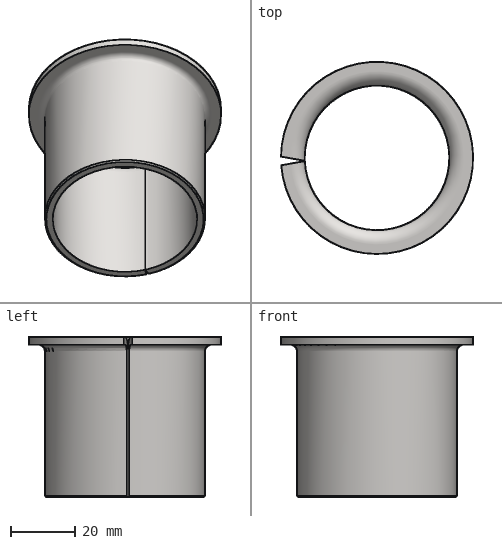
import cadquery as cq
import math

height = 50.0
bore_radius = 22.5
wall = 2.5
tube_radius = bore_radius + wall
flange_radius = 30.0
flange_thickness = wall

neck_radius = 2.0
mouth_radius = neck_radius + wall
foot_chamfer = 0.5

split_angle = 20.0
split_apex_x = -22.45
split_apex_y = -0.95
split_length = 10.0


def make_sleeve():
    flange_bottom = height - flange_thickness
    curve_start = height - mouth_radius
    bend_radius = tube_radius + neck_radius
    diagonal = math.sqrt(0.5)

    def on_bend(arc_radius):
        """Midpoint of an arc about the common bend centre, on the -X side."""
        return (-(bend_radius - arc_radius * diagonal), curve_start + arc_radius * diagonal)

    profile = (
        cq.Workplane("XZ")
        .moveTo(-bore_radius, 0)
        .lineTo(-bore_radius, curve_start)
        .threePointArc(on_bend(mouth_radius), (-bend_radius, height))
        .lineTo(-flange_radius, height)
        .lineTo(-flange_radius, flange_bottom)
        .lineTo(-bend_radius, flange_bottom)
        .threePointArc(on_bend(neck_radius), (-tube_radius, curve_start))
        .lineTo(-tube_radius, foot_chamfer)
        .lineTo(-(tube_radius - foot_chamfer), 0)
        .close()
    )
    return profile.revolve(360, (0, 0, 0), (0, 1, 0))


def make_split():
    half_opening = split_length * math.tan(math.radians(split_angle / 2))
    outer_x = split_apex_x - split_length
    return (
        cq.Workplane("XY")
        .moveTo(split_apex_x, split_apex_y)
        .lineTo(outer_x, split_apex_y + half_opening)
        .lineTo(outer_x, split_apex_y - half_opening)
        .close()
        .extrude(height)
    )


result = make_sleeve().cut(make_split())